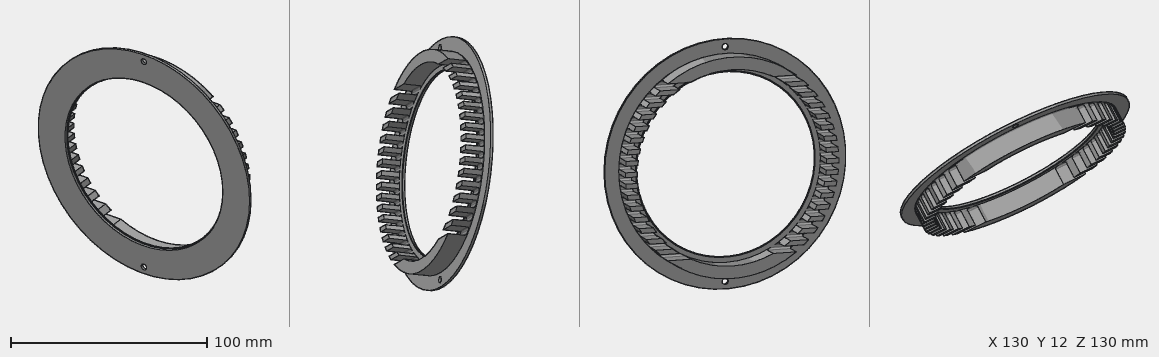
import cadquery as cq

flange_diameter = 130.0
flange_bore_diameter = 97.0

base_top = 2.0
lip_thickness = 0.45
flange_thickness = base_top - lip_thickness
lip_bore_diameter = 96.0

total_depth = 12.0
wall_outer_diameter = 115.0
wall_inner_diameter = 102.0

slot_count = 16
slot_span = 88.5
slot_pitch = slot_span / (slot_count - 1)
slot_height = 3.4
slot_corner_radius = 1.0

screw_hole_diameter = 3.2
screw_hole_offset = 61.0


def ring(outer_diameter, inner_diameter, front, back):
    """Ring about the Y axis between two Y positions."""
    profile = cq.Workplane("XZ", origin=(0, back, 0)).circle(outer_diameter / 2).circle(inner_diameter / 2)
    return profile.extrude(back - front)


def slot(height):
    """Cutter along X at the given Z, open at the back, with rounded floor corners."""
    depth = total_depth - base_top
    return (
        cq.Workplane("XY", origin=(0, base_top + depth / 2, height))
        .box(flange_diameter, depth, slot_height)
        .edges("|X and <Y")
        .fillet(slot_corner_radius)
    )


flange = ring(flange_diameter, flange_bore_diameter, 0, flange_thickness)
screw_holes = (
    cq.Workplane("XZ")
    .pushPoints([(0, screw_hole_offset), (0, -screw_hole_offset)])
    .circle(screw_hole_diameter / 2)
    .extrude(-flange_thickness)
)
flange = flange.cut(screw_holes)

base_ring = ring(wall_outer_diameter, lip_bore_diameter, flange_thickness, base_top)

wall = ring(wall_outer_diameter, wall_inner_diameter, base_top, total_depth)
first_slot_height = -slot_span / 2
for index in range(slot_count):
    wall = wall.cut(slot(first_slot_height + index * slot_pitch))

result = flange.union(base_ring).union(wall)